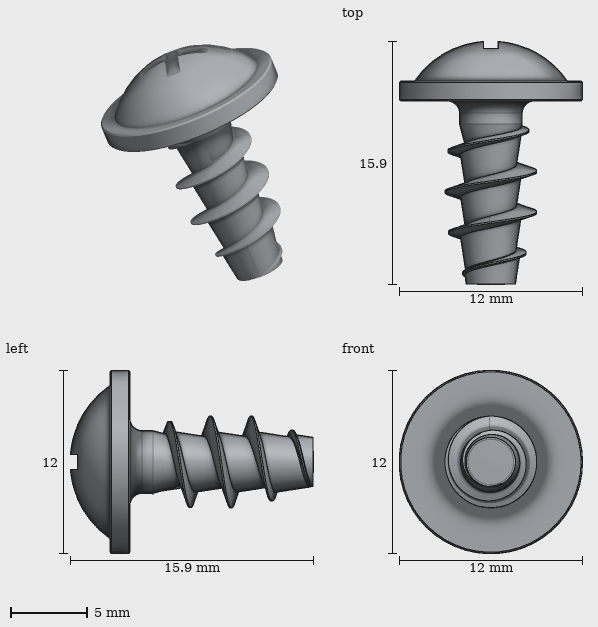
import cadquery as cq
import math


flange_radius = 6.0
flange_thickness = 1.3
flange_edge_chamfer = 0.1
dome_radius = 5.0
dome_height = 2.63
slot_width = 0.95
slot_depth = 0.49

shank_length = 11.97
neck_radius = 2.05
neck_fillet = 0.8
neck_length = 1.5
core_radius = 1.57
tip_radius = 1.61
neck_taper_length = 1.8
tip_edge_width = 0.12
tip_bulge = 0.03

pitch = 2.68
turns = 4
crest_radius = 3.0
crest_half_width = 0.05
flank_slope = 0.3
thread_start_crest = 2.33
thread_growth = 0.64
thread_fade = 0.93
thread_base_radius = 1.4
thread_start_y = turns * pitch - shank_length

groove_slope = 0.155
groove_top_radius = 2.03
groove_run = pitch - 0.2
groove_base_radius = 1.5
points_per_turn = 24


def revolve_about_y(profile):
    return profile.close().revolve(360, (0, 0, 0), (0, 1, 0))


def helix_edge(radius_at, offset_at, first_turn=0, last_turn=turns):
    """Edge winding down the shank, with radius and axial offset given per turn number."""
    points = []
    steps = math.ceil((last_turn - first_turn) * points_per_turn)
    for i in range(steps + 1):
        turn = first_turn + (last_turn - first_turn) * i / steps
        angle = 2 * math.pi * turn
        radius = radius_at(turn)
        y = thread_start_y - pitch * turn + offset_at(turn)
        points.append(cq.Vector(radius * math.sin(angle), y, -radius * math.cos(angle)))
    return cq.Edge.makeSpline(points)


def helical_solid(edges):
    """Solid bounded by ruled faces between neighbouring helix edges and a flat cap at each end."""
    faces = []
    for edge, following in zip(edges, edges[1:] + edges[:1]):
        faces.append(cq.Face.makeRuledSurface(edge, following))
    for end in (0, 1):
        corners = [edge.positionAt(end) for edge in edges]
        faces.append(cq.Face.makeFromWires(cq.Wire.makePolygon(corners, close=True)))
    solid = cq.Solid.makeSolid(cq.Shell.makeShell(faces))
    return cq.Workplane(cq.Solid(solid.fix().wrapped))


def make_head():
    flange = (
        cq.Workplane("XZ")
        .circle(flange_radius)
        .extrude(-flange_thickness)
        .edges()
        .chamfer(flange_edge_chamfer)
    )
    sphere_radius = (dome_radius**2 + dome_height**2) / (2 * dome_height)
    apex_y = flange_thickness + dome_height
    half_angle = math.asin(dome_radius / sphere_radius) / 2
    arc_middle = (
        sphere_radius * math.sin(half_angle),
        apex_y - sphere_radius * (1 - math.cos(half_angle)),
    )
    dome = revolve_about_y(
        cq.Workplane("XY")
        .lineTo(0, apex_y)
        .threePointArc(arc_middle, (dome_radius, flange_thickness))
        .lineTo(dome_radius, 0)
    )
    head = flange.union(dome)
    slot = cq.Workplane("XY").box(2 * dome_radius, 2 * slot_depth, slot_width)
    slot = slot.translate((0, apex_y, 0))
    for angle in (0, 90):
        head = head.cut(slot.rotate((0, 0, 0), (0, 1, 0), angle))
    return head


def make_core():
    arc_middle_gap = neck_fillet * (1 - math.sqrt(0.5))
    overlap_into_flange = flange_thickness / 2
    return revolve_about_y(
        cq.Workplane("XY")
        .moveTo(0, overlap_into_flange)
        .lineTo(neck_radius + neck_fillet, overlap_into_flange)
        .lineTo(neck_radius + neck_fillet, 0)
        .threePointArc(
            (neck_radius + arc_middle_gap, -arc_middle_gap),
            (neck_radius, -neck_fillet),
        )
        .lineTo(neck_radius, -neck_length)
        .lineTo(core_radius, -neck_length - neck_taper_length)
        .lineTo(core_radius, -shank_length)
        .lineTo(tip_radius - tip_edge_width, -shank_length)
        .lineTo(0, -shank_length - tip_bulge)
    )


def make_groove_floor():
    floor_end_radius = groove_top_radius - groove_slope * groove_run
    floor = helical_solid([
        helix_edge(lambda t: groove_top_radius, lambda t: 0),
        helix_edge(lambda t: floor_end_radius, lambda t: -groove_run),
        helix_edge(lambda t: groove_base_radius, lambda t: -groove_run),
        helix_edge(lambda t: groove_base_radius, lambda t: 0),
    ])
    tip_cone_length = (neck_radius - tip_radius) / groove_slope
    envelope = revolve_about_y(
        cq.Workplane("XY")
        .lineTo(neck_radius, 0)
        .lineTo(neck_radius, tip_cone_length - shank_length)
        .lineTo(tip_radius, -shank_length)
        .lineTo(0, -shank_length)
    )
    return floor.intersect(envelope)


def make_thread():
    """Tooth in three stretches: growing crest, full crest and crest fading into the tip."""

    def crest(turn):
        growing = thread_start_crest + thread_growth * turn
        fading = tip_radius + thread_fade * (turns - turn)
        return min(crest_radius, growing, fading)

    def base_half_width(turn):
        return crest_half_width + flank_slope * (crest(turn) - thread_base_radius)

    def tooth(first_turn, last_turn):
        span = (first_turn, last_turn)
        return helical_solid([
            helix_edge(lambda t: thread_base_radius, base_half_width, *span),
            helix_edge(crest, lambda t: crest_half_width, *span),
            helix_edge(crest, lambda t: -crest_half_width, *span),
            helix_edge(lambda t: thread_base_radius, lambda t: -base_half_width(t), *span),
        ])

    full_from = (crest_radius - thread_start_crest) / thread_growth
    full_until = turns - (crest_radius - tip_radius) / thread_fade
    threaded_zone = (
        cq.Workplane("XZ", origin=(0, -neck_length, 0))
        .circle(2 * crest_radius)
        .extrude(shank_length - neck_length)
    )
    return [
        tooth(0, full_from).intersect(threaded_zone),
        tooth(full_from, full_until),
        tooth(full_until, turns).intersect(threaded_zone),
    ]


shank = make_core().union(make_groove_floor())
for thread_part in make_thread():
    shank = shank.union(thread_part)
result = make_head().union(shank)